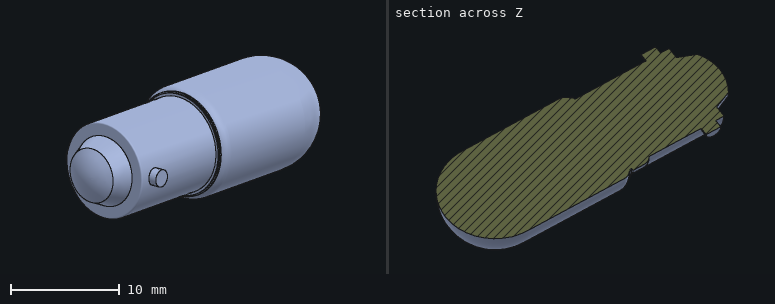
import cadquery as cq
import math


overall_length = 30.23

bulb_diameter = 10.87
bulb_radius = bulb_diameter / 2
dome_height = 5.6
barrel_length = 10.4
shoulder_length = 0.95
shoulder_bulge = 0.15
rim_radius = 4.99
rim_length = 0.15
collar_radius = 4.86
collar_length = 0.15

base_radius = 4.6
base_length = 10.4
base_edge_radius = 0.15

contact_root_radius = 3.36
contact_end_radius = 2.6
contact_cone_length = 1.79

pin_radius = 0.82
pin_span = bulb_diameter
pin_center_y = -8.65

lug_radius = 1.48
lug_reach = 5.09
lug_length = 2.2
lug_end_radius = 0.9

rim_y = collar_length
shoulder_start_y = rim_y + rim_length
shoulder_end_y = shoulder_start_y + shoulder_length
dome_base_y = shoulder_end_y + barrel_length
dome_top_y = dome_base_y + dome_height
contact_cone_end_y = -base_length - contact_cone_length
contact_tip_y = dome_top_y - overall_length


def revolve_about_lamp_axis(profile):
    return profile.revolve(360, (0, 0, 0), (0, 1, 0))


def spherical_cap_mid_point(edge_radius, cap_height, edge_y, outward):
    """Point on a cap's meridian at half its edge radius; outward is +1 or -1 along Y."""
    sphere_radius = (edge_radius**2 + cap_height**2) / (2 * cap_height)
    mid_x = edge_radius / 2
    mid_height = cap_height - sphere_radius + math.sqrt(sphere_radius**2 - mid_x**2)
    return (mid_x, edge_y + outward * mid_height)


def bulb():
    """Barrel with a spherical dome on top and a rounded shoulder, rim and collar below."""
    shoulder_mid = (
        (bulb_radius + rim_radius) / 2 + shoulder_bulge,
        (shoulder_start_y + shoulder_end_y) / 2,
    )
    dome_mid = spherical_cap_mid_point(bulb_radius, dome_height, dome_base_y, 1)
    profile = (
        cq.Workplane("XY")
        .lineTo(collar_radius, 0)
        .lineTo(collar_radius, rim_y)
        .lineTo(rim_radius, rim_y)
        .lineTo(rim_radius, shoulder_start_y)
        .threePointArc(shoulder_mid, (bulb_radius, shoulder_end_y))
        .lineTo(bulb_radius, dome_base_y)
        .threePointArc(dome_mid, (0, dome_top_y))
        .close()
    )
    return revolve_about_lamp_axis(profile)


def base_sleeve():
    """Plain cylinder with a softened lower edge."""
    sleeve = cq.Workplane("XZ").circle(base_radius).extrude(base_length)
    return sleeve.faces("<Y").edges().fillet(base_edge_radius)


def contact():
    """Tapered contact with a spherical cap at the end of the base."""
    cap_height = contact_cone_end_y - contact_tip_y
    cap_mid = spherical_cap_mid_point(contact_end_radius, cap_height, contact_cone_end_y, -1)
    profile = (
        cq.Workplane("XY")
        .moveTo(0, contact_tip_y)
        .threePointArc(cap_mid, (contact_end_radius, contact_cone_end_y))
        .lineTo(contact_root_radius, -base_length)
        .lineTo(0, -base_length)
        .close()
    )
    return revolve_about_lamp_axis(profile)


def bayonet_pins():
    """One cross pin whose two ends stand out of the base."""
    return (
        cq.Workplane("YZ", origin=(-pin_span / 2, pin_center_y, 0))
        .circle(pin_radius)
        .extrude(pin_span)
    )


def locating_lug():
    """Round rod partly sunk into the side of the base, with a rounded free end."""
    lug_axis_x = lug_radius - lug_reach
    rod = cq.Workplane("XZ", origin=(lug_axis_x, 0, 0)).circle(lug_radius).extrude(lug_length)
    return rod.faces("<Y").edges().fillet(lug_end_radius)


result = (
    bulb()
    .union(base_sleeve())
    .union(contact())
    .union(bayonet_pins())
    .union(locating_lug())
)